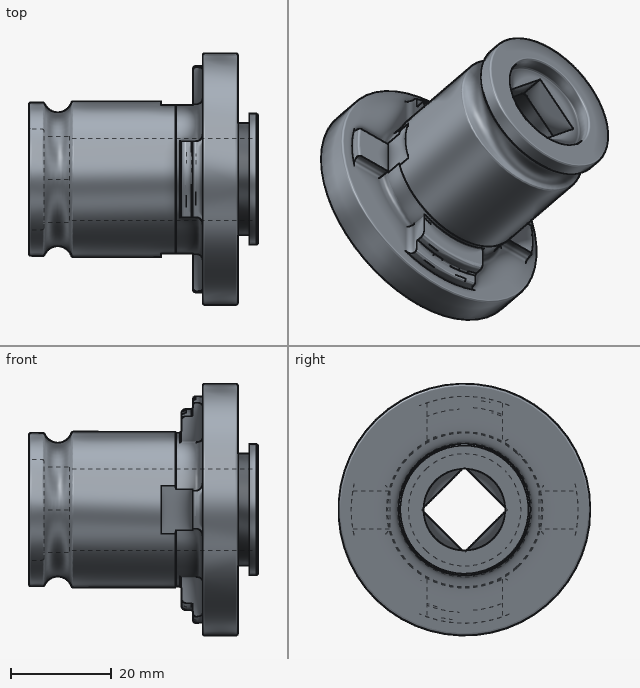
import cadquery as cq
import math


nose_groove_center_x = 5.75
body_end_x = 29.2
flange_front_x = 34.45
flange_back_x = 41.5
rim_front_x = 43.7
length = 45.5

nose_radius = 15.25
body_radius = 15.5
neck_radius = 15.3
flange_radius = 25.0
hub_radius = 11.15
rim_radius = 13.05
groove_bottom_radius = 13.3
groove_arc_radius = 2.85

edge_fillet = 0.5
body_end_chamfer = body_radius - neck_radius
rim_chamfer = 0.35

lug_front_x = 32.55
lug_outer_radius = 22.5
side_lug_width = 7.5
main_lug_width = 15.0
step_front_x = 30.25
step_outer_radius = 20.0
lug_edge_fillet = 0.6
step_edge_fillet = 0.95
step_root_fillet = 0.35
flange_root_fillet = 1.4

flat_start_x = 26.25
flat_offset = 14.75

bore_radius = 10.0
bore_depth = 3.0
square_side = 12.0
square_depth = 5.0
through_radius = 8.1

tolerance = 0.005


def cylinder(x_start, x_end, radius):
    """Cylinder about the X axis between two stations."""
    return cq.Workplane("YZ", origin=(x_start, 0, 0)).circle(radius).extrude(x_end - x_start)


def circles_at(solid, x, radius):
    """Edges of a solid lying on the circle of the given radius about X at station x."""

    def on_circle(edge):
        points = [edge.positionAt(t) for t in (0, 0.3, 0.7, 1)]
        return all(
            abs(p.x - x) < tolerance and abs(math.hypot(p.y, p.z) - radius) < tolerance for p in points
        )

    return solid.edges().filter(on_circle)


def groove_edge_x(radius, side):
    """Station where the groove arc meets a cylinder; side is -1 for the nose, 1 for the body."""
    rise = groove_bottom_radius + groove_arc_radius - radius
    return nose_groove_center_x + side * math.sqrt(groove_arc_radius**2 - rise**2)


def make_body():
    """Nose collar, rounded groove and cylindrical body."""
    nose_end_x = groove_edge_x(nose_radius, -1)
    body_start_x = groove_edge_x(body_radius, 1)
    body = (
        cq.Workplane("XY")
        .lineTo(0, nose_radius)
        .lineTo(nose_end_x, nose_radius)
        .threePointArc((nose_groove_center_x, groove_bottom_radius), (body_start_x, body_radius))
        .lineTo(body_end_x, body_radius)
        .lineTo(body_end_x, 0)
        .close()
        .revolve(360, (0, 0, 0), (1, 0, 0))
    )
    for x, radius in ((0, nose_radius), (nose_end_x, nose_radius), (body_start_x, body_radius)):
        body = circles_at(body, x, radius).fillet(edge_fillet)
    return circles_at(body, body_end_x, body_radius).chamfer(body_end_chamfer)


def make_flange():
    """Flange with the hub and rim behind it."""
    flange = cylinder(flange_front_x, flange_back_x, flange_radius).edges().fillet(edge_fillet)
    hub = cylinder(flange_back_x, rim_front_x, hub_radius)
    rim = cylinder(rim_front_x, length, rim_radius).edges(">X").chamfer(rim_chamfer)
    return flange.union(hub).union(rim)


def on_step_root(edge):
    """Whether an edge lies on the neck surface where a main lug step rises from it."""
    points = [edge.positionAt(t) for t in (0, 0.3, 0.7, 1)]
    on_neck = all(abs(math.hypot(p.y, p.z) - neck_radius) < tolerance for p in points)
    in_lug = all(abs(p.y) < main_lug_width / 2 + tolerance for p in points)
    ahead = step_front_x - tolerance < edge.Center().x < flange_front_x - tolerance
    return on_neck and in_lug and ahead


def trace_flare(outline, height):
    """Continue an XY outline along X at the given height and flare it up to the flange front."""
    arc_offset = flange_root_fillet * (1 - math.sqrt(0.5))
    return (
        outline.lineTo(flange_front_x - flange_root_fillet, height)
        .threePointArc(
            (flange_front_x - arc_offset, height + arc_offset),
            (flange_front_x, height + flange_root_fillet),
        )
        .lineTo(flange_front_x, 0)
        .close()
    )


def flared_bar(width):
    """Bar along Z, as wide as a lug along Y, with concave flares down to the flange front."""
    outline = cq.Workplane("XY", origin=(0, 0, -flange_radius)).lineTo(0, width / 2)
    half_bar = trace_flare(outline, width / 2).extrude(2 * flange_radius)
    return half_bar.union(half_bar.mirror("XZ"))


def lug_pair(x_start, outer_radius, front_fillet, bar):
    """Two opposite lugs: a disc with a rounded front edge, trimmed to a bar across the axis."""
    disc = cylinder(x_start, flange_front_x, outer_radius).edges("<X").fillet(front_fillet)
    return disc.intersect(bar)


def make_neck():
    """Neck with a concave flare down to the flange front."""
    outline = cq.Workplane("XY").moveTo(body_end_x, 0).lineTo(body_end_x, neck_radius)
    return trace_flare(outline, neck_radius).revolve(360, (0, 0, 0), (1, 0, 0))


def make_neck_and_lugs():
    """Neck with two side lugs and two stepped main lugs."""
    straight_bar = cq.Workplane("XY").box(2 * length, main_lug_width, 2 * flange_radius)
    main_bar = flared_bar(main_lug_width)
    side_bar = flared_bar(side_lug_width).rotate((0, 0, 0), (1, 0, 0), 90)

    core = cylinder(body_end_x, flange_front_x, neck_radius)
    core = core.union(lug_pair(step_front_x, step_outer_radius, step_edge_fillet, straight_bar))
    core = core.edges().filter(on_step_root).fillet(step_root_fillet)

    main_lugs = lug_pair(lug_front_x, lug_outer_radius, lug_edge_fillet, main_bar)
    side_lugs = lug_pair(lug_front_x, lug_outer_radius, lug_edge_fillet, side_bar)
    core = core.union(main_lugs)
    core = circles_at(core, lug_front_x, step_outer_radius).fillet(step_root_fillet)
    return core.union(make_neck()).union(side_lugs)


def cut_flats(solid):
    """Flats facing -Y and +Y, ending at the front of the side lugs."""
    flat_length = lug_front_x - flat_start_x
    cutter = cq.Workplane("XY").box(flat_length, body_radius, flange_radius, centered=(False, False, True))
    upper = cutter.translate((flat_start_x, flat_offset, 0))
    lower = upper.mirror("XZ")
    return solid.cut(upper).cut(lower)


def cut_bores(solid):
    """Round bore in the nose, diagonal square socket and round hole through the rest."""
    bore = cylinder(0, bore_depth, bore_radius).edges(">X").fillet(edge_fillet)
    square = (
        cq.Workplane("YZ", origin=(bore_depth, 0, 0))
        .transformed(rotate=(0, 0, 45))
        .rect(square_side, square_side)
        .extrude(square_depth)
    )
    hole = cylinder(bore_depth + square_depth, length, through_radius)
    solid = solid.cut(bore).cut(square).cut(hole)
    return circles_at(solid, 0, bore_radius).fillet(edge_fillet)


result = make_neck_and_lugs().union(make_flange()).union(make_body())
result = cut_flats(result)
result = cut_bores(result)